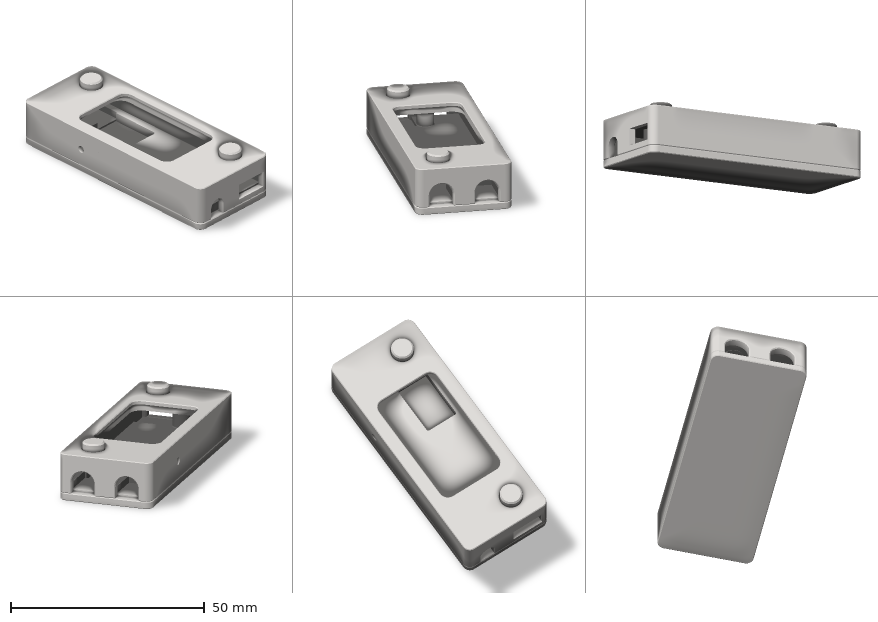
import cadquery as cq
CASE_LENGTH = 64.0
CASE_WIDTH = 25.4
CASE_TOP = 12.55
CORNER_RADIUS = 2.0
EDGE_CHAMFER = 0.2
PLATE_THICKNESS = 2.0

END_WALL = 2.0
SIDE_WALL = 1.0
CEILING_THICKNESS = 3.5
CAVITY_LENGTH = CASE_LENGTH - 2 * END_WALL
CAVITY_WIDTH = CASE_WIDTH - 2 * SIDE_WALL
CEILING_Z = CASE_TOP - CEILING_THICKNESS

WINDOW_LENGTH = 32.8
WINDOW_WIDTH = 18.2
WINDOW_RADIUS = 2.4
LIP_THICKNESS = 1.0
SEAT_LENGTH = 37.9
SEAT_WIDTH = WINDOW_WIDTH + 1.8
SEAT_RADIUS = 3.2

BUTTON_XS = (-25.0, 25.0)
BUTTON_Y = 5.5
BUTTON_DIAMETER = 5.8
BUTTON_HOLE_DIAMETER = 6.0
BUTTON_TOP = 14.5
BUTTON_CHAMFER = 0.4

PORT_Y = 6.0
PORT_DIAMETER = 6.4
PORT_CHAMFER = 0.25
PORT_SPRING_Z = 5.0

JACK_Y = -6.5
JACK_DIAMETER = 4.5
CONNECTOR_WIDTH = 8.95
CONNECTOR_TOP = 8.0

RESET_X = -11.0
RESET_Z = 6.7
RESET_DIAMETER = 2.0

BLOCK_CLEARANCE = 0.3
BLOCK_TOP = 4.4
BLOCK_LENGTH = CAVITY_LENGTH - 2 * BLOCK_CLEARANCE
BLOCK_WIDTH = CAVITY_WIDTH - 2 * BLOCK_CLEARANCE
PORT_POCKET_WIDTH = 7.3
PORT_POCKET_FLOOR = 2.5
PORT_POCKET_END = -19.85
LONG_POCKET_END = -5.6
LONG_POCKET_Y = (0.25, 9.3)
LONG_POCKET_RADIUS = 0.5
STEP_START = 22.6
STEP_FLOOR = 3.6
STEP_Y = 1.1

POST_X = 23.4
POST_Y = -1.35
POST_DIAMETER = 4.5
POST_FOOT_CHAMFER = 0.2


def rounded_block(length, width, radius, bottom, top):
    """Upright block centred on the Z axis, with rounded vertical edges."""
    block = cq.Workplane("XY").workplane(offset=bottom).rect(length, width).extrude(top - bottom)
    return block.edges("|Z").fillet(radius)


def upright_cylinder(x, y, diameter, bottom, top, taper=0):
    """Upright cylinder, or a cone that narrows upward by the taper angle."""
    circle = cq.Workplane("XY", origin=(x, y, bottom)).circle(diameter / 2)
    return circle.extrude(top - bottom, taper=taper)


def box_between(x_range, y_range, z_range):
    """Box that fills the given ranges."""
    sizes = [high - low for low, high in (x_range, y_range, z_range)]
    corner = (x_range[0], y_range[0], z_range[0])
    return cq.Workplane("XY").box(*sizes, centered=False).translate(corner)


def arch_profile(x, y, diameter):
    """Round-topped outline across X that runs down to the underside of the case."""
    radius = diameter / 2
    return (
        cq.Workplane("YZ", origin=(x, y, 0))
        .moveTo(-radius, 0)
        .lineTo(-radius, PORT_SPRING_Z)
        .threePointArc((0, PORT_SPRING_Z + radius), (radius, PORT_SPRING_Z))
        .lineTo(radius, 0)
        .close()
    )


def chamfered_arch(face_x, y, diameter):
    """Arch cutter through an end wall, chamfered where it enters at face_x."""
    straight = arch_profile(face_x, y, diameter).extrude(END_WALL)
    mouth = arch_profile(face_x, y, diameter + 2 * PORT_CHAMFER).extrude(PORT_CHAMFER, taper=45)
    return straight.union(mouth)


def connector_cutter(face_x):
    """Rectangular cutter through an end wall, chamfered where it enters at face_x."""
    height = CONNECTOR_TOP - STEP_FLOOR
    profile = cq.Workplane("YZ", origin=(face_x, PORT_Y, STEP_FLOOR + height / 2))
    straight = profile.rect(CONNECTOR_WIDTH, height).extrude(END_WALL)
    mouth = profile.rect(CONNECTOR_WIDTH + 2 * PORT_CHAMFER, height + 2 * PORT_CHAMFER)
    return straight.union(mouth.extrude(PORT_CHAMFER, taper=45))


def make_housing():
    housing = rounded_block(CASE_LENGTH, CASE_WIDTH, CORNER_RADIUS, PLATE_THICKNESS, CASE_TOP)
    housing = housing.faces("<Z").edges().chamfer(EDGE_CHAMFER)

    cavity = cq.Workplane("XY").rect(CAVITY_LENGTH, CAVITY_WIDTH).extrude(CEILING_Z)
    housing = housing.cut(cavity)

    lip_bottom = CASE_TOP - LIP_THICKNESS
    seat = rounded_block(SEAT_LENGTH, SEAT_WIDTH, SEAT_RADIUS, CEILING_Z, lip_bottom)
    window = rounded_block(WINDOW_LENGTH, WINDOW_WIDTH, WINDOW_RADIUS, lip_bottom, CASE_TOP)
    housing = housing.cut(seat).cut(window)

    for x in BUTTON_XS:
        hole = upright_cylinder(x, BUTTON_Y, BUTTON_HOLE_DIAMETER, CEILING_Z, CASE_TOP)
        housing = housing.cut(hole)

    housing = housing.faces(">Z").edges().chamfer(EDGE_CHAMFER)

    for y in (-PORT_Y, PORT_Y):
        housing = housing.cut(chamfered_arch(-CASE_LENGTH / 2, y, PORT_DIAMETER))
    inner_face_x = CAVITY_LENGTH / 2
    housing = housing.cut(chamfered_arch(inner_face_x, JACK_Y, JACK_DIAMETER))
    housing = housing.cut(connector_cutter(inner_face_x))

    reset_hole = (
        cq.Workplane("XZ", origin=(RESET_X, -CAVITY_WIDTH / 2, RESET_Z))
        .circle(RESET_DIAMETER / 2)
        .extrude(CASE_WIDTH / 2)
    )
    return housing.cut(reset_hole)


def make_base():
    plate = rounded_block(CASE_LENGTH, CASE_WIDTH, CORNER_RADIUS, 0, PLATE_THICKNESS)
    plate = plate.faces("<Z or >Z").edges().chamfer(EDGE_CHAMFER)

    block = box_between(
        (-BLOCK_LENGTH / 2, BLOCK_LENGTH / 2),
        (-BLOCK_WIDTH / 2, BLOCK_WIDTH / 2),
        (PLATE_THICKNESS, BLOCK_TOP),
    )

    for y in (-PORT_Y, PORT_Y):
        port_pocket = box_between(
            (-BLOCK_LENGTH / 2, PORT_POCKET_END),
            (y - PORT_POCKET_WIDTH / 2, y + PORT_POCKET_WIDTH / 2),
            (PORT_POCKET_FLOOR, BLOCK_TOP),
        )
        block = block.cut(port_pocket)

    long_pocket = box_between(
        (PORT_POCKET_END, LONG_POCKET_END), LONG_POCKET_Y, (PLATE_THICKNESS, BLOCK_TOP)
    )
    block = block.cut(long_pocket.edges("|Z and >X").fillet(LONG_POCKET_RADIUS))

    step = box_between(
        (STEP_START, BLOCK_LENGTH / 2), (STEP_Y, BLOCK_WIDTH / 2), (STEP_FLOOR, BLOCK_TOP)
    )
    block = block.cut(step)

    post = upright_cylinder(POST_X, POST_Y, POST_DIAMETER, BLOCK_TOP, CEILING_Z)
    foot_diameter = POST_DIAMETER + 2 * POST_FOOT_CHAMFER
    foot = upright_cylinder(POST_X, POST_Y, foot_diameter, BLOCK_TOP, BLOCK_TOP + POST_FOOT_CHAMFER, 45)
    return plate.union(block).union(post).union(foot)


def make_button(x):
    button = upright_cylinder(x, BUTTON_Y, BUTTON_DIAMETER, CEILING_Z, BUTTON_TOP)
    return button.faces(">Z").edges().chamfer(BUTTON_CHAMFER)


housing = make_housing()
base = make_base()
buttons = [make_button(x) for x in BUTTON_XS]

result = cq.Compound.makeCompound([housing.val(), base.val(), *[button.val() for button in buttons]])